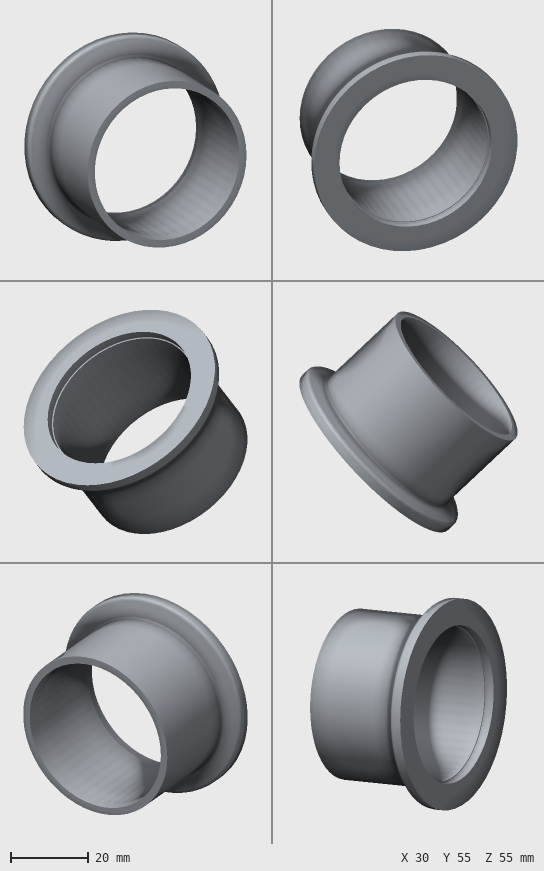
import cadquery as cq
import math

length = 30.0
flange_radius = 55 / 2
tube_radius = 44.5 / 2
bore_radius = 40.5 / 2

recess_radius = 41.2 / 2
recess_depth = 2.5
recess_corner_round = 0.2

rim_width = 2.25
back_angle = math.radians(15)
rim_round = 1.0
root_round = 0.65

rim_tangent = rim_round * math.tan((math.pi / 2 - back_angle) / 2)
corner_x = rim_width + rim_tangent
cone_end_x = corner_x + (flange_radius - tube_radius) * math.tan(back_angle)


def flange_and_tube():
    """Solid of revolution about X, with sharp flange edges."""
    return (
        cq.Workplane("XY")
        .moveTo(0, 0)
        .lineTo(0, flange_radius)
        .lineTo(corner_x, flange_radius)
        .lineTo(cone_end_x, tube_radius)
        .lineTo(length, tube_radius)
        .lineTo(length, 0)
        .close()
        .revolve(360, (0, 0, 0), (1, 0, 0))
    )


def circle_at(x, radius):
    """Selector for the circular edge of a given radius at position x."""
    margin = 0.05
    reach = radius + margin
    return cq.selectors.BoxSelector(
        (x - margin, -reach, -reach), (x + margin, reach, reach), boundingbox=True
    )


def bore(radius, depth):
    """Cylinder along X from the flange face."""
    return cq.Workplane("YZ").circle(radius).extrude(depth)


body = flange_and_tube()
body = body.edges(circle_at(corner_x, flange_radius)).fillet(rim_round)
body = body.edges(circle_at(cone_end_x, tube_radius)).fillet(root_round)

recess = bore(recess_radius, recess_depth).faces(">X").edges().fillet(recess_corner_round)

result = body.cut(bore(bore_radius, length)).cut(recess)